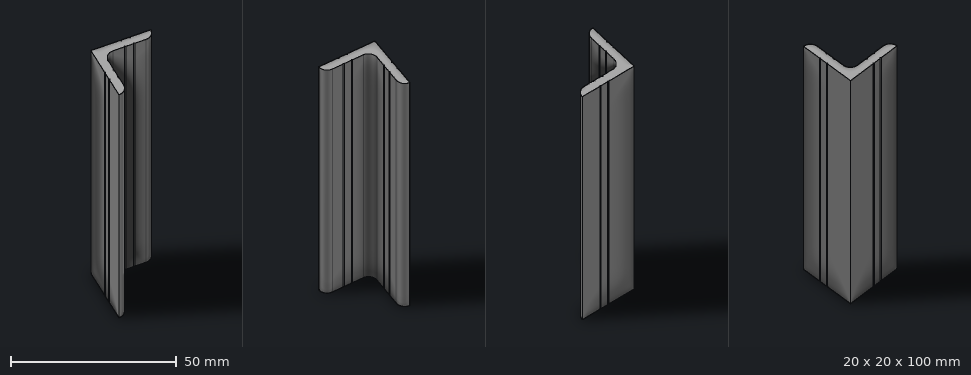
import cadquery as cq

leg = 20.0
thickness = 3.0
length = 100.0
toe_radius = thickness
root_radius = 3.0

groove_width = 0.5
groove_depth = groove_width / 2
groove_pitch = 3.0
first_groove = leg / 2
groove_positions = [first_groove, first_groove + groove_pitch]


def angle_bar():
    straight_end = leg - toe_radius
    toe_diagonal = toe_radius * 0.5**0.5
    bar = (
        cq.Workplane("XY")
        .lineTo(leg, 0)
        .threePointArc((straight_end + toe_diagonal, toe_diagonal), (straight_end, thickness))
        .lineTo(thickness, thickness)
        .lineTo(thickness, straight_end)
        .threePointArc((toe_diagonal, straight_end + toe_diagonal), (0, leg))
        .close()
        .extrude(length)
    )
    root_edge = cq.selectors.NearestToPointSelector((thickness, thickness, length / 2))
    return bar.edges(root_edge).fillet(root_radius)


def groove_cutters():
    """Diamond bars centred on the faces, so that each one cuts a V-groove."""
    half_width = groove_width / 2
    cutters = cq.Workplane("XY")
    for along in groove_positions:
        for face in (0, thickness):
            cutters = cutters.add(diamond_bar(along, face, half_width, groove_depth))
            cutters = cutters.add(diamond_bar(face, along, groove_depth, half_width))
    return cutters.combine()


def diamond_bar(x, y, half_x, half_y):
    corners = [(x - half_x, y), (x, y - half_y), (x + half_x, y), (x, y + half_y)]
    return cq.Workplane("XY").polyline(corners).close().extrude(length)


result = angle_bar().cut(groove_cutters())